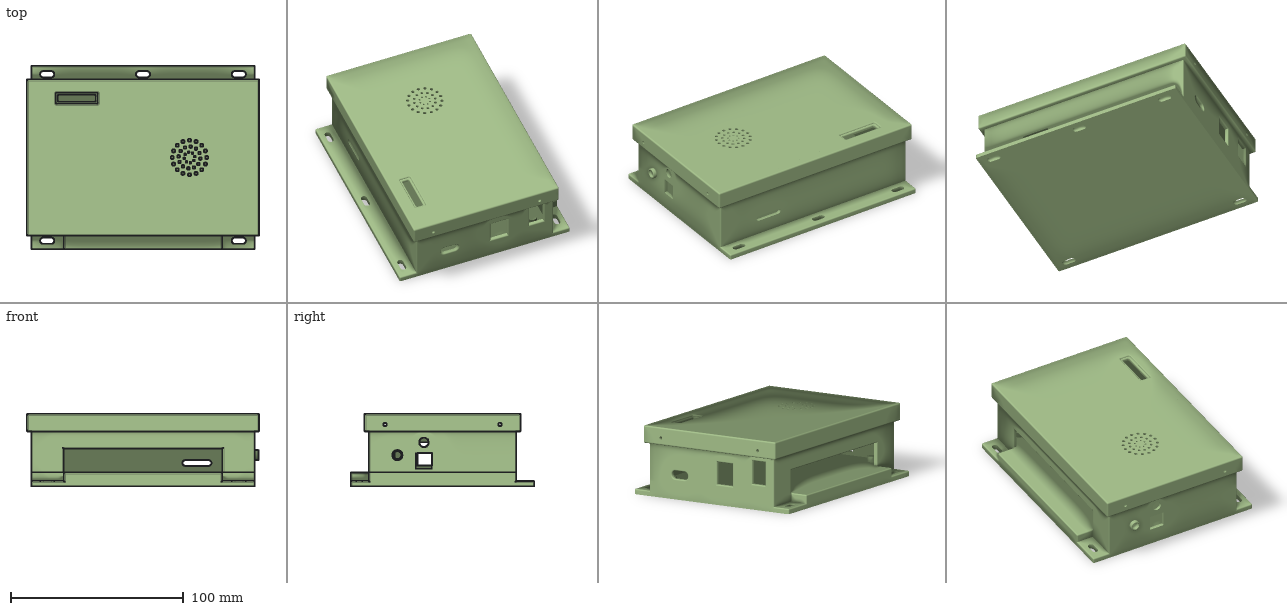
import cadquery as cq
import math

lid_length = 134.6
lid_width = 90.7
total_height = 42.0
lid_height = 10.4
lid_wall = 2.5
lid_plate = 2.5
wall = 2.0
edge_radius = 0.75
lid_edge_radius = 0.87

base_width = 106.3
base_height = 8.1
flange_height = 3.1
platform_length = 91.8
mount_slot_x = 55.5
mount_slot_y = 48.2
mount_slot_length = 8.1
mount_slot_width = 3.5
standoff_x = 55.2
standoff_y = 33.4
standoff_radius = 3.0
standoff_height = 3.1

opening_top = 21.8
cable_slot = (22.0, 14.5, 11.0, 4.8)
socket_window = (-9.0, 18.7, 10.8, 13.3)
switch_window = (-32.5, 22.0, 9.0, 13.9)
rear_slot = (31.2, 13.5, 16.7, 3.2)
port_y = -10.8
port_z = 14.7
port_size = 9.2
round_port_z = 25.5
round_port_radius = 2.7
round_port_recess_radius = 3.2
round_port_recess_depth = 0.8

jack_y = -26.1
jack_z = 18.0
jack_radius = 3.0
jack_bore_radius = 2.3
jack_reach = 2.2
jack_edge_radius = 0.4

screw_y = 33.2
screw_z = 35.8
screw_radius = 1.0
display_x = -38.4
display_y = 34.3
display_recess_length = 24.5
display_recess_width = 6.5
display_recess_depth = 0.8
display_length = 22.1
display_width = 4.0
speaker_x = 26.9
speaker_rings = [
    (3.1, 0.5, 8, 10.0),
    (6.3, 0.8, 12, -6.0),
    (10.0, 1.0, 16, 0.0),
]

body_length = lid_length - 2 * lid_wall
body_width = lid_width - 2 * lid_wall
lid_bottom = total_height - lid_height
frame_top = total_height - lid_plate
side_x = body_length / 2
front_y = -body_width / 2


def block(length, width, bottom, top):
    """Box centred on the Z axis between two heights."""
    return cq.Workplane("XY").workplane(offset=bottom).rect(length, width).extrude(top - bottom)


def rounded_block(length, width, bottom, top):
    """Centred box with rounded vertical corners."""
    return block(length, width, bottom, top).edges("|Z").fillet(edge_radius)


def wall_window(y, z, length, height):
    """Rectangular cutter through the -X wall."""
    return cq.Workplane("XY").box(2 * wall, length, height).translate((-side_x, y, z))


def side_rod(x, y, z, radius, length):
    """Rod along X that starts at x."""
    return cq.Workplane("YZ", origin=(x, y, z)).circle(radius).extrude(length)


def round_outer_edges(body, centre, size):
    """Fillet the edges whose centres lie in a box."""
    low = [c - s / 2 for c, s in zip(centre, size)]
    high = [c + s / 2 for c, s in zip(centre, size)]
    return body.edges(cq.selectors.BoxSelector(low, high)).fillet(edge_radius)


def make_base():
    base = rounded_block(body_length, base_width, 0, flange_height).faces(">Z").edges().fillet(edge_radius)
    base = base.union(rounded_block(body_length, body_width, 0, base_height))

    platform_depth = base_width / 2
    platform = (
        cq.Workplane("XY")
        .box(platform_length, platform_depth, base_height, centered=(True, False, False))
        .translate((0, -base_width / 2, 0))
        .edges("|Z and <Y")
        .fillet(edge_radius)
        .faces(">Z")
        .edges("not >Y")
        .fillet(edge_radius)
    )
    top_inset = block(platform_length, body_width, 0, base_height)
    base = base.union(platform).union(top_inset)

    slot_places = [(x, mount_slot_y) for x in (-mount_slot_x, 0, mount_slot_x)]
    slot_places += [(x, -mount_slot_y) for x in (-mount_slot_x, mount_slot_x)]
    slots = (
        cq.Workplane("XY").pushPoints(slot_places).slot2D(mount_slot_length, mount_slot_width).extrude(base_height)
    )

    standoffs = (
        cq.Workplane("XY")
        .workplane(offset=base_height)
        .rect(2 * standoff_x, 2 * standoff_y, forConstruction=True)
        .vertices()
        .circle(standoff_radius)
        .extrude(standoff_height)
    )
    return base.cut(slots).union(standoffs)


def make_frame():
    frame = rounded_block(body_length, body_width, base_height, frame_top)
    frame = frame.cut(block(body_length - 2 * wall, body_width - 2 * wall, base_height, frame_top))

    opening_height = opening_top - base_height
    opening_z = base_height + opening_height / 2
    frame = frame.cut(
        cq.Workplane("XY").box(platform_length, 2 * wall, opening_height).translate((0, front_y, opening_z))
    )
    probe = edge_radius
    frame = round_outer_edges(
        frame, (0, front_y, opening_top), (platform_length + probe, probe / 2, 2 * opening_height - probe)
    )

    y, z, length, height = cable_slot
    slot = (
        cq.Workplane("YZ", origin=(-side_x - wall, y, z)).slot2D(length, height).extrude(3 * wall)
    )
    frame = frame.cut(slot)
    frame = round_outer_edges(frame, (-side_x, y, z), (probe, length + probe, height + probe))
    for y, z, length, height in (socket_window, switch_window):
        frame = frame.cut(wall_window(y, z, length, height))
        frame = round_outer_edges(frame, (-side_x, y, z), (probe, length + probe, height + probe))

    x, z, length, height = rear_slot
    frame = frame.cut(cq.Workplane("XZ", origin=(x, 0, z)).slot2D(length, height).extrude(-body_width))

    inner_x = side_x - wall
    frame = frame.cut(cq.Workplane("XY").box(2 * wall, port_size, port_size).translate((side_x, port_y, port_z)))
    frame = frame.cut(side_rod(inner_x, port_y, round_port_z, round_port_radius, wall))
    frame = frame.cut(
        side_rod(inner_x, port_y, round_port_z, round_port_recess_radius, round_port_recess_depth)
    )

    barrel = side_rod(inner_x, jack_y, jack_z, jack_radius, wall + jack_reach)
    barrel = barrel.faces(">X").edges().fillet(jack_edge_radius)
    frame = frame.union(barrel)
    return frame.cut(side_rod(inner_x, jack_y, jack_z, jack_bore_radius, wall + jack_reach))


def screw_holes():
    """Rods through both end walls for the lid screws."""
    holes = side_rod(-lid_length / 2, screw_y, screw_z, screw_radius, lid_length)
    return holes.union(side_rod(-lid_length / 2, -screw_y, screw_z, screw_radius, lid_length))


def make_lid():
    lid = block(lid_length, lid_width, lid_bottom, total_height).edges().fillet(lid_edge_radius)
    lid = lid.cut(rounded_block(body_length, body_width, lid_bottom, frame_top))

    recess_floor = total_height - display_recess_depth
    cutters = (
        (display_recess_length, display_recess_width, recess_floor, total_height),
        (display_length, display_width, lid_bottom, recess_floor),
    )
    for length, width, bottom, top in cutters:
        cutter = rounded_block(length, width, bottom, top).translate((display_x, display_y, 0))
        lid = lid.cut(cutter)
        lid = round_outer_edges(
            lid, (display_x, display_y, top), (length + edge_radius, width + edge_radius, edge_radius / 2)
        )

    for ring_radius, hole_radius, count, first_angle in speaker_rings:
        for i in range(count):
            angle = math.radians(first_angle + i * 360 / count)
            x = speaker_x + ring_radius * math.cos(angle)
            y = ring_radius * math.sin(angle)
            hole = cq.Workplane("XY", origin=(x, y, frame_top)).circle(hole_radius).extrude(lid_plate)
            lid = lid.cut(hole)
    return lid


base = make_base()
frame = make_frame().cut(screw_holes())
lid = make_lid().cut(screw_holes())

result = cq.Compound.makeCompound([base.val(), frame.val(), lid.val()])